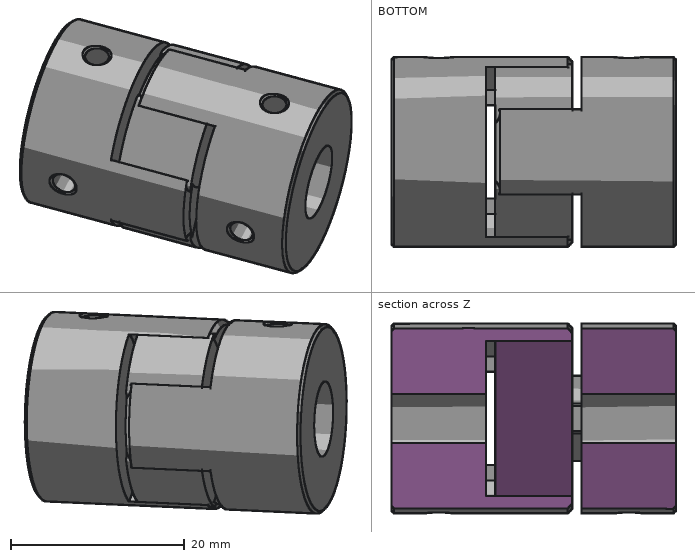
import cadquery as cq
import math

LENGTH = 32.88
OUTER_R = 21.93 / 2
BORE_R = 4.35
BASE_LENGTH = 10.95
SPIDER_THICKNESS = 8.95
EDGE_CHAMFER = 0.33

JAW_HALF_WIDTH = 4.93
FLANK_R = 6.25
FLANK_TOP_ANGLE = 70.0
FLANK_BREAK_ANGLE = 31.0
NECK_TAPER_ANGLE = 9.0
JAW_ROOT_R = 5.55
JAW_TIP_CHAMFER = 0.55

ARM_ROUND_R = 1.0
ARM_EDGE_HALF_GAP = 4.37

SCREW_R = 1.38
SCREW_CHAMFER = 0.3

half_length = LENGTH / 2
base_end_x = -half_length + BASE_LENGTH
spider_end_x = SPIDER_THICKNESS / 2
screw_x = -half_length + BASE_LENGTH / 2


def on_circle(centre, radius, angle):
    """Point of a circle in the Y-Z plane, with the angle in degrees from +Y."""
    turn = math.radians(angle)
    return (centre[0] + radius * math.cos(turn), centre[1] + radius * math.sin(turn))


def mirrored(point):
    return (-point[0], point[1])


def cylinder(radius, start_x, end_x):
    return cq.Workplane("YZ", origin=(start_x, 0, 0)).circle(radius).extrude(end_x - start_x)


def jaw_section():
    """Prism of one jaw pointing to +Z, from the hub base to the jaw tip."""
    outer_corner = (JAW_HALF_WIDTH, math.sqrt(OUTER_R**2 - JAW_HALF_WIDTH**2))
    centre = on_circle(outer_corner, FLANK_R, -FLANK_TOP_ANGLE)
    flank_middle = on_circle(centre, FLANK_R, 180 - (FLANK_TOP_ANGLE + FLANK_BREAK_ANGLE) / 2)
    neck_top = on_circle(centre, FLANK_R, 180 - FLANK_BREAK_ANGLE)
    neck_bottom = (neck_top[0] - neck_top[1] * math.tan(math.radians(NECK_TAPER_ANGLE)), 0)
    return (
        cq.Workplane("YZ", origin=(base_end_x, 0, 0))
        .moveTo(*outer_corner)
        .threePointArc(flank_middle, neck_top)
        .lineTo(*neck_bottom)
        .lineTo(*mirrored(neck_bottom))
        .lineTo(*mirrored(neck_top))
        .threePointArc(mirrored(flank_middle), mirrored(outer_corner))
        .threePointArc((0, OUTER_R), outer_corner)
        .close()
        .extrude(spider_end_x - base_end_x)
    )


def jaw_gaps():
    """Cutter for the space around the two opposite jaws of a hub, at +Z and -Z."""
    jaw = jaw_section()
    hollow = cylinder(JAW_ROOT_R, base_end_x, spider_end_x)
    ring = cylinder(OUTER_R, base_end_x, spider_end_x)
    return ring.cut(jaw).cut(jaw.rotate((0, 0, 0), (1, 0, 0), 180)).union(hollow)


def screw_hole():
    """Cutter for a set screw hole that runs from the bore out through +Z."""
    return (
        cq.Workplane("XZ")
        .moveTo(screw_x, 0)
        .lineTo(screw_x + SCREW_R, 0)
        .lineTo(screw_x + SCREW_R, OUTER_R - SCREW_CHAMFER)
        .lineTo(screw_x + SCREW_R + 2 * SCREW_CHAMFER, OUTER_R + SCREW_CHAMFER)
        .lineTo(screw_x, OUTER_R + SCREW_CHAMFER)
        .close()
        .revolve(360, (screw_x, 0, 0), (screw_x, 1, 0))
    )


def make_hub():
    """Hub on the -X side with its jaws at +Z and -Z, and screw holes towards +Z and -Y."""
    blank = (
        cylinder(OUTER_R, -half_length, spider_end_x)
        .faces("<X")
        .chamfer(EDGE_CHAMFER)
        .faces(">X")
        .chamfer(JAW_TIP_CHAMFER)
    )
    bore = cylinder(BORE_R, -half_length, base_end_x)
    hole = screw_hole()
    side_hole = hole.rotate((0, 0, 0), (1, 0, 0), 90)
    return blank.cut(jaw_gaps()).cut(bore).cut(hole).cut(side_hole)


def arm_corner_relief():
    """Cutter above a jaw tip whose sides round the edges of the two spider arms beside it."""
    edge_angle = math.degrees(math.acos(ARM_EDGE_HALF_GAP / OUTER_R))
    centre = on_circle((0, 0), OUTER_R - ARM_ROUND_R, edge_angle)
    edge = on_circle((0, 0), OUTER_R, edge_angle)
    middle = on_circle(centre, ARM_ROUND_R, (edge_angle + 180) / 2)
    side = on_circle(centre, ARM_ROUND_R, 180)
    return (
        cq.Workplane("YZ")
        .moveTo(*edge)
        .threePointArc(middle, side)
        .lineTo(*mirrored(side))
        .threePointArc(mirrored(middle), mirrored(edge))
        .threePointArc((0, OUTER_R), edge)
        .close()
        .extrude(spider_end_x, both=True)
    )


def make_spider(hubs):
    """Solid disc between the hubs, with pockets that fit all four jaws."""
    spider = cylinder(OUTER_R, -spider_end_x, spider_end_x)
    for hub in hubs:
        spider = spider.cut(hub)
    relief = arm_corner_relief()
    for quarter in range(4):
        spider = spider.cut(relief.rotate((0, 0, 0), (1, 0, 0), 90 * quarter))
    return spider


hub = make_hub()
left_hub = hub.mirror("XY").rotate((0, 0, 0), (1, 0, 0), -90)
right_hub = hub.mirror("YZ")
spider = make_spider([left_hub, right_hub])

result = cq.Compound.makeCompound([left_hub.val(), right_hub.val(), spider.val()])